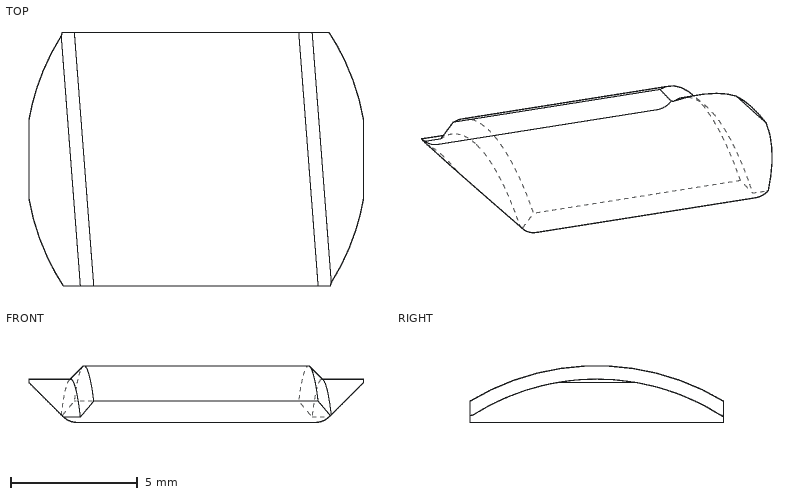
import cadquery as cq
import math

LENGTH = 13.2
WIDTH = 10.0
HEIGHT = 2.25
HALF_WIDTH = WIDTH / 2

CROWN_RADIUS = 9.64
STEP = 0.53
SHELF_RADIUS = CROWN_RADIUS - STEP
AXIS_Z = HEIGHT - CROWN_RADIUS

RIM_BOTTOM = 1.58
BOTTOM_LENGTH = LENGTH - 2 * RIM_BOTTOM
BOTTOM_ROUND = 0.79

PAD_HALF_LENGTH = 4.42
SKEW_SHIFT = 0.38
PAD_SINK = 0.25


def surface_z(radius, y):
    return AXIS_Z + math.sqrt(radius**2 - y**2)


def crowned_base(radius):
    """Full-length block under a crowned surface."""
    edge_z = surface_z(radius, HALF_WIDTH)
    return (
        cq.Workplane("YZ", origin=(-LENGTH / 2, 0, 0))
        .moveTo(-HALF_WIDTH, 0)
        .lineTo(HALF_WIDTH, 0)
        .lineTo(HALF_WIDTH, edge_z)
        .threePointArc((0, AXIS_Z + radius), (-HALF_WIDTH, edge_z))
        .close()
        .extrude(LENGTH)
    )


def end_envelope():
    """Side profile that undercuts both ends of the part."""
    return (
        cq.Workplane("XZ")
        .moveTo(-BOTTOM_LENGTH / 2, 0)
        .lineTo(BOTTOM_LENGTH / 2, 0)
        .lineTo(LENGTH / 2, RIM_BOTTOM)
        .lineTo(LENGTH / 2, HEIGHT)
        .lineTo(-LENGTH / 2, HEIGHT)
        .lineTo(-LENGTH / 2, RIM_BOTTOM)
        .close()
        .extrude(HALF_WIDTH, both=True)
        .edges("|Y and <Z")
        .fillet(BOTTOM_ROUND)
    )


def pad_edge(side, depth):
    """Skewed arc on a pad end wall; depth 0 is the crown, 1 is the shelf."""
    points = []
    for y in (-HALF_WIDTH, 0, HALF_WIDTH):
        x = side * (PAD_HALF_LENGTH + depth * STEP) - SKEW_SHIFT * y / HALF_WIDTH
        crown_z = surface_z(CROWN_RADIUS, y)
        shelf_z = surface_z(SHELF_RADIUS, y)
        points.append(cq.Vector(x, y, crown_z + depth * (shelf_z - crown_z)))
    return cq.Edge.makeThreePointArc(*points)


def raised_pad():
    """Crowned pad with sloping, skewed end walls, sunk slightly into the base."""
    sunk_depth = 1 + PAD_SINK
    edges = [
        pad_edge(-1, 0),
        pad_edge(1, 0),
        pad_edge(1, sunk_depth),
        pad_edge(-1, sunk_depth),
    ]
    faces = [
        cq.Face.makeRuledSurface(first, second)
        for first, second in zip(edges, edges[1:] + edges[:1])
    ]
    for end in (0, 1):
        corners = [edge.positionAt(end) for edge in edges]
        faces.append(cq.Face.makeFromWires(cq.Wire.makePolygon(corners, close=True)))
    return cq.Workplane(obj=cq.Solid.makeSolid(cq.Shell.makeShell(faces)))


result = crowned_base(SHELF_RADIUS).union(raised_pad()).intersect(end_envelope())